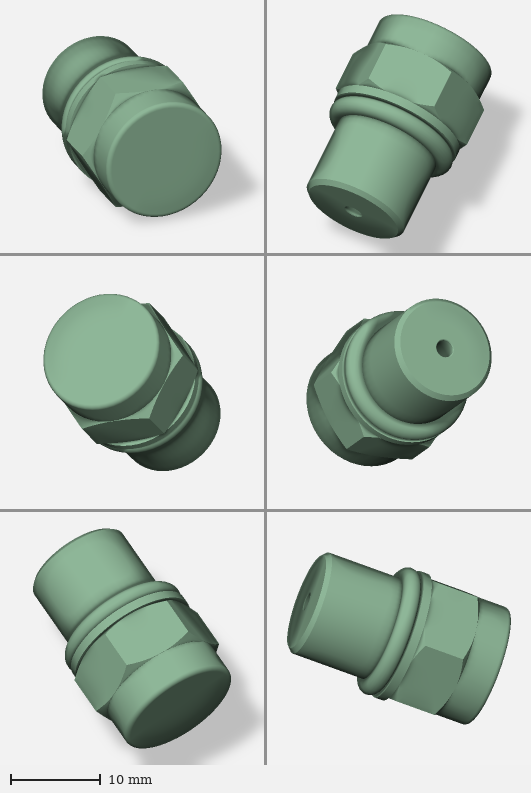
import cadquery as cq
import math

length = 22.0
ring_start = 9.0
ring_thickness = 2.0
washer_start = ring_start + ring_thickness
hex_start = 12.0
hex_end = 18.0

plug_diameter = 12.0
seal_diameter = 15.0
across_flats = 14.0
collar_diameter = 13.93
bore_diameter = 2.0
bore_depth = 5.0
edge_size = 0.5
bore_chamfer = 0.09
corner_chamfer_length = 0.73

across_corners = across_flats / math.cos(math.pi / 6)


def rod(start, end, diameter):
    """Solid cylinder on the X axis."""
    return cq.Workplane("YZ", origin=(start, 0, 0)).circle(diameter / 2).extrude(end - start)


def sealing_ring():
    """Flat-sided ring with a fully rounded rim, matching the washer diameter."""
    section_radius = ring_thickness / 2
    rim_radius = seal_diameter / 2
    shoulder_radius = rim_radius - section_radius
    return (
        cq.Workplane("XY")
        .moveTo(ring_start, 0)
        .lineTo(ring_start, shoulder_radius)
        .threePointArc((ring_start + section_radius, rim_radius), (washer_start, shoulder_radius))
        .lineTo(washer_start, 0)
        .close()
        .revolve(360, (0, 0, 0), (1, 0, 0))
    )


def hexagon():
    """Hexagon with corners on Y, its corners coned off at both ends."""
    prism = (
        cq.Workplane("YZ", origin=(hex_start, 0, 0))
        .polygon(6, across_corners)
        .extrude(hex_end - hex_start)
    )
    corner_height = (across_corners - across_flats) / 2
    envelope = (
        rod(hex_start, hex_end, across_corners)
        .faces("<X or >X")
        .chamfer(corner_chamfer_length, corner_height)
    )
    return prism.intersect(envelope)


plug = rod(0, hex_start, plug_diameter).faces("<X").chamfer(edge_size)
washer = rod(washer_start, hex_start, seal_diameter)
collar = rod(hex_end, length, collar_diameter).faces(">X").edges().fillet(edge_size)
body = plug.union(sealing_ring()).union(washer).union(hexagon()).union(collar)

bore = rod(0, bore_depth, bore_diameter)
bored_body = body.cut(bore)
bore_mouth = bored_body.faces("<X").edges("%CIRCLE").edges(cq.selectors.RadiusNthSelector(0))

result = bore_mouth.chamfer(bore_chamfer)